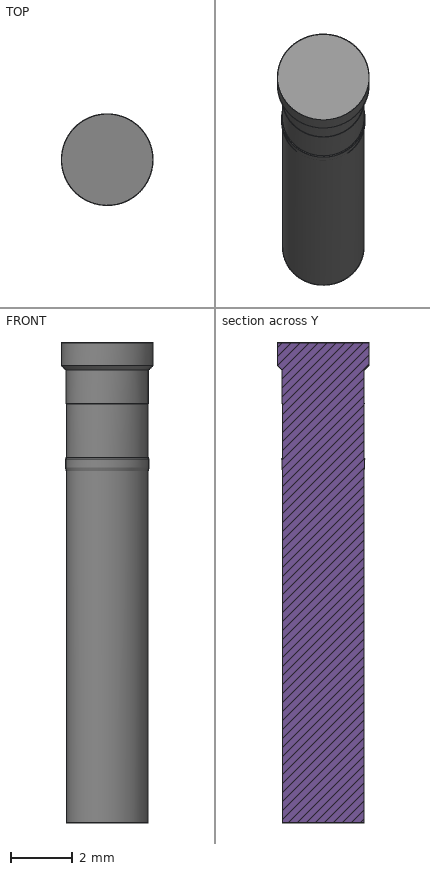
import cadquery as cq

total_length = 15.7
head_diameter = 3.0

neck_diameter = 2.7
band_diameter = 2.73
shank_diameter = 2.67

head_rim_depth = 0.75
neck_bottom_depth = 2.0
band_top_depth = 3.8
band_bottom_depth = 4.1

band_upper_taper = 0.05
band_lower_taper = 0.1

head_radius = head_diameter / 2
neck_radius = neck_diameter / 2
band_radius = band_diameter / 2
shank_radius = shank_diameter / 2

head_cone_depth = head_rim_depth + (head_radius - neck_radius)
neck_cone_depth = neck_bottom_depth - (neck_radius - shank_radius)


def height(depth):
    """Z of a point lying the given depth below the top face."""
    return total_length - depth


def make_pin():
    """Revolve the half profile (radius, Z) about the Z axis."""
    profile = [
        (0, 0),
        (shank_radius, 0),
        (shank_radius, height(band_bottom_depth + band_lower_taper)),
        (band_radius, height(band_bottom_depth)),
        (band_radius, height(band_top_depth)),
        (shank_radius, height(band_top_depth - band_upper_taper)),
        (shank_radius, height(neck_bottom_depth)),
        (neck_radius, height(neck_cone_depth)),
        (neck_radius, height(head_cone_depth)),
        (head_radius, height(head_rim_depth)),
        (head_radius, total_length),
        (0, total_length),
    ]
    axis_start = (0, 0)
    axis_end = (0, 1)
    full_turn = 360
    return cq.Workplane("XZ").polyline(profile).close().revolve(full_turn, axis_start, axis_end)


result = make_pin()